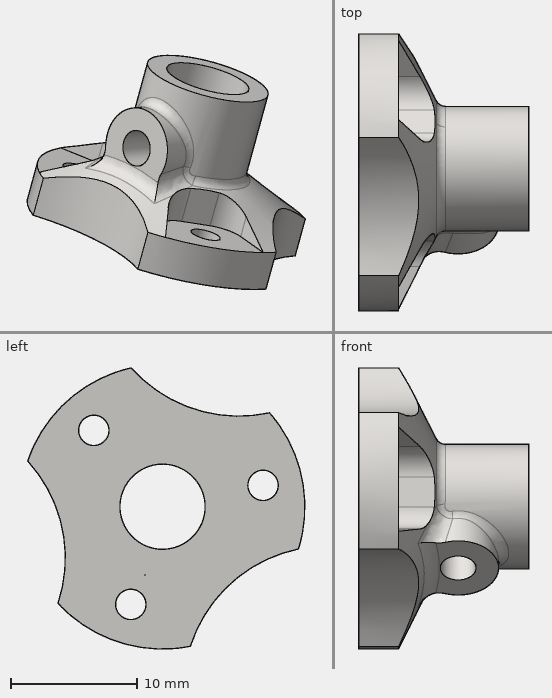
import cadquery as cq
import math

length = 13.5
flange_radius = 11.3
flange_thickness = 3.17
hub_radius = 9.92 / 2
bore_diameter = 6.75
cone_slope = 1.98
cone_end = flange_thickness + (flange_radius - hub_radius) / cone_slope
hub_fillet = 0.8
boss_root_fillet = 1.35

first_lobe_angle = 48.0
lobe_pitch = 120.0
lobe_angles = [first_lobe_angle + i * lobe_pitch for i in range(3)]
notch_half_angle = 30.7
notch_depth_radius = 8.15

mount_hole_diameter = 2.4
mount_hole_radius = 8.15
pocket_inner_radius = 5.58
pocket_half_width = 2.9
pocket_flare = 15.0
pocket_corner_radius = 2.2
rim_clearance = 2.23

boss_angle = first_lobe_angle + 180
boss_x = 7.89
boss_radius = 3.22
boss_height = 6.55
screw_hole_diameter = 2.84

tolerance = 0.02


def turn(shape, angle):
    """Rotate a shape about X, from the +Y direction towards +Z."""
    return shape.rotate((0, 0, 0), (1, 0, 0), angle)


def make_body():
    profile = (
        cq.Workplane("XY")
        .moveTo(0, 0)
        .lineTo(0, flange_radius)
        .lineTo(flange_thickness, flange_radius)
        .lineTo(cone_end, hub_radius)
        .lineTo(length, hub_radius)
        .lineTo(length, 0)
        .close()
    )
    return profile.revolve(360, (0, 0, 0), (1, 0, 0))


def make_boss():
    """Round boss along +Y that overlaps the cone."""
    plane = cq.Workplane("XZ", origin=(boss_x, boss_height, 0))
    return plane.circle(boss_radius).extrude(boss_height)


def make_notch():
    """Cylinder along X, centred on +Y, that scoops the rim between two lobes."""
    half_chord = flange_radius * math.sin(math.radians(notch_half_angle))
    sagitta = flange_radius * math.cos(math.radians(notch_half_angle)) - notch_depth_radius
    radius = (half_chord**2 + sagitta**2) / (2 * sagitta)
    return cq.Workplane("YZ").center(notch_depth_radius + radius, 0).circle(radius).extrude(length)


def make_pocket():
    """Flared pocket on +Y, open to the rim, with rounded inner corners."""
    outer_radius = flange_radius + rim_clearance
    flare = (outer_radius - pocket_inner_radius) * math.tan(math.radians(pocket_flare))
    outer_half_width = pocket_half_width + flare
    return (
        cq.Workplane("YZ", origin=(flange_thickness, 0, 0))
        .moveTo(pocket_inner_radius, -pocket_half_width)
        .lineTo(outer_radius, -outer_half_width)
        .lineTo(outer_radius, outer_half_width)
        .lineTo(pocket_inner_radius, pocket_half_width)
        .close()
        .extrude(length - flange_thickness)
        .edges("|X and <Y")
        .fillet(pocket_corner_radius)
    )


def make_mount_hole():
    hole = cq.Workplane("YZ").center(mount_hole_radius, 0)
    return hole.circle(mount_hole_diameter / 2).extrude(length)


def is_boss_root(edge):
    """True for the curves where the boss meets the cone."""
    is_curve = edge.geomType() not in ("LINE", "CIRCLE")
    return is_curve and edge.Center().x < cone_end


def is_hub_joint(edge):
    """True where the hub meets the cone or the boss."""
    if edge.geomType() == "CIRCLE":
        return abs(edge.Center().x - cone_end) < tolerance
    return edge.geomType() == "BSPLINE" and edge.Center().x > boss_x


def fillet_where(body, test, radius):
    edges = [edge for edge in body.edges().vals() if test(edge)]
    return body.newObject([body.val().fillet(radius, edges)])


body = make_body().rotate((0, 0, 0), (1, 0, 0), 180).union(make_boss())
body = fillet_where(body, is_boss_root, boss_root_fillet)
body = fillet_where(body, is_hub_joint, hub_fillet)
result = turn(body, boss_angle)

for lobe_angle in lobe_angles:
    result = result.cut(turn(make_notch(), lobe_angle + lobe_pitch / 2))
    result = result.cut(turn(make_pocket(), lobe_angle))
    result = result.cut(turn(make_mount_hole(), lobe_angle))

result = result.cut(cq.Workplane("YZ").circle(bore_diameter / 2).extrude(length))
screw_hole = (
    cq.Workplane("XZ", origin=(boss_x, boss_height, 0))
    .circle(screw_hole_diameter / 2)
    .extrude(boss_height)
)
result = result.cut(turn(screw_hole, boss_angle))